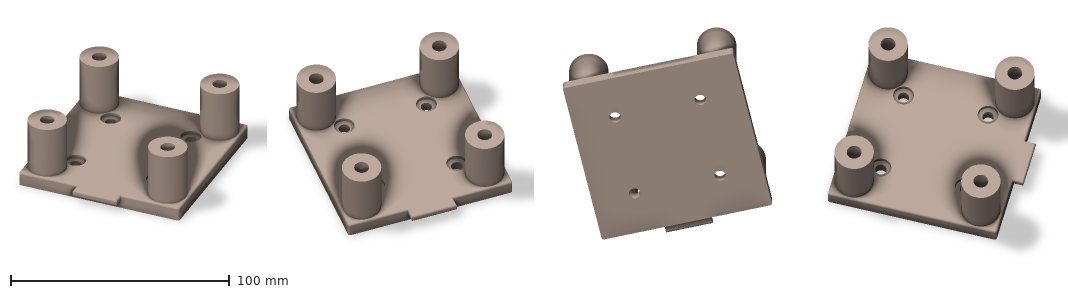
import cadquery as cq

plate_side = 80.0
plate_thickness = 6.7
edge_radius = 1.0

overall_length = 85.0
tab_width = 22.1
tab_thickness = 3.2
tab_reach = overall_length - plate_side

overall_height = 31.7
post_diameter = 18.0
post_bore_diameter = 6.8
post_spacing = 60.0
post_height = overall_height - plate_thickness
post_bore_depth = post_height

screw_spacing = 40.0
screw_hole_diameter = 5.2
counterbore_diameter = 9.5
counterbore_depth = 1.9


def make_plate():
    plate = cq.Workplane("XY").box(
        plate_side, plate_side, plate_thickness, centered=(True, True, False)
    )
    return plate.edges("|Z or >Z").fillet(edge_radius)


def make_tab():
    """Tab with rounded top and bottom edges, running into the plate past the plate's own rounding."""
    embed = 2 * edge_radius
    tab = (
        cq.Workplane("XY")
        .box(tab_width, tab_reach + embed, tab_thickness, centered=(True, False, False))
        .translate((0, -plate_side / 2 - tab_reach, plate_thickness - tab_thickness))
    )
    rim_edges = "(|X and <Y) or |Y"
    return tab.edges(rim_edges).fillet(edge_radius)


def square_pattern(height, spacing):
    """Four points at the corners of a centred square at the given height."""
    plane = cq.Workplane("XY").workplane(offset=height)
    return plane.rect(spacing, spacing, forConstruction=True).vertices()


posts = square_pattern(0, post_spacing).circle(post_diameter / 2).extrude(overall_height)
post_bores = (
    square_pattern(overall_height, post_spacing)
    .circle(post_bore_diameter / 2)
    .extrude(-post_bore_depth)
)
screw_holes = square_pattern(0, screw_spacing).circle(screw_hole_diameter / 2).extrude(plate_thickness)
counterbores = (
    square_pattern(plate_thickness, screw_spacing)
    .circle(counterbore_diameter / 2)
    .extrude(-counterbore_depth)
)

body = make_plate().union(make_tab()).union(posts)
result = body.cut(post_bores).cut(screw_holes).cut(counterbores)